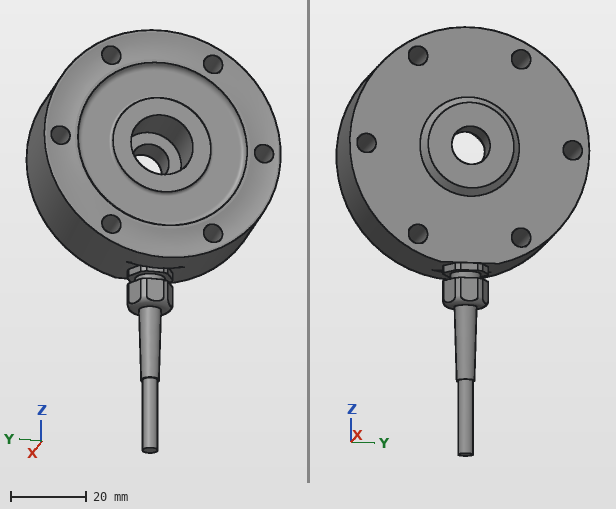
import cadquery as cq
import math

body_diameter = 65.0
body_radius = body_diameter / 2
body_length = 19.9
rim_land_width = 0.7

ring_outer_radius = body_radius - rim_land_width
ring_inner_radius = 24.2
ring_depth = 0.5
land_inner_radius = 23.2

hub_radius = 13.5
recess_depth = 1.6
hub_height = 0.9

button_base_radius = 13.5
button_tip_radius = 11.6
overall_length = 22.0

counterbore_diameter = 17.0
counterbore_depth = 13.8
bore_diameter = 10.4

bolt_hole_diameter = 5.2
bolt_circle_radius = 28.0
bolt_hole_count = 6

gland_x = 13.9
hex_across_flats = 11.3
hex_round_diameter = 12.2
seat_z = -31.5
seat_start_x = 8.0
flange_bottom_z = -33.5
neck_diameter = 8.0
nut_top_z = -35.5
nut_bottom_z = -42.4
nut_fillet = 1.8

relief_top_diameter = 6.0
relief_bottom_diameter = 4.8
relief_bottom_z = -62.5
cable_diameter = 4.0
overall_height = 115.0
cable_bottom_z = body_radius - overall_height


def x_cylinder(diameter, start_x, length):
    return cq.Workplane("YZ", origin=(start_x, 0, 0)).circle(diameter / 2).extrude(length)


def gland_cylinder(diameter, bottom_z, top_z):
    plane = cq.Workplane("XY", origin=(gland_x, 0, bottom_z))
    return plane.circle(diameter / 2).extrude(top_z - bottom_z)


def rounded_hex(bottom_z, top_z, bottom_fillet=0):
    """Hexagon with flats facing +X and -X, its corners turned round."""
    corner_diameter = hex_across_flats / math.cos(math.pi / 6)
    hexagon = (
        cq.Workplane("XY", origin=(gland_x, 0, bottom_z))
        .transformed(rotate=(0, 0, 30))
        .polygon(6, corner_diameter)
        .extrude(top_z - bottom_z)
    )
    envelope = gland_cylinder(hex_round_diameter, bottom_z, top_z)
    if bottom_fillet:
        envelope = envelope.faces("<Z").edges().fillet(bottom_fillet)
    return hexagon.intersect(envelope)


def housing():
    """Turned profile in X (axial) and Y (radial), revolved about X."""
    hub_face_x = recess_depth - hub_height
    ring_middle_radius = (ring_outer_radius + ring_inner_radius) / 2
    profile = (
        cq.Workplane("XY")
        .moveTo(hub_face_x, 0)
        .lineTo(hub_face_x, hub_radius)
        .radiusArc((recess_depth, hub_radius + hub_height), -hub_height)
        .lineTo(recess_depth, land_inner_radius - recess_depth)
        .radiusArc((0, land_inner_radius), -recess_depth)
        .lineTo(0, ring_inner_radius)
        .threePointArc((ring_depth, ring_middle_radius), (0, ring_outer_radius))
        .lineTo(0, body_radius)
        .lineTo(body_length, body_radius)
        .lineTo(body_length, button_base_radius)
        .lineTo(overall_length, button_tip_radius)
        .lineTo(overall_length, 0)
        .close()
    )
    return profile.revolve(360, (0, 0, 0), (1, 0, 0))


def gland_seat():
    """Flat milled on the underside of the housing, open to the far face."""
    seat_length = body_length - seat_start_x
    return cq.Workplane("XY").box(
        seat_length, body_diameter, body_radius, centered=(False, True, False)
    ).translate((seat_start_x, 0, seat_z - body_radius))


def bolt_holes():
    holes = cq.Workplane("YZ").polarArray(bolt_circle_radius, 0, 360, bolt_hole_count)
    return holes.circle(bolt_hole_diameter / 2).extrude(body_length)


def strain_relief():
    return (
        cq.Workplane("XY", origin=(gland_x, 0, nut_bottom_z))
        .circle(relief_top_diameter / 2)
        .workplane(offset=relief_bottom_z - nut_bottom_z)
        .circle(relief_bottom_diameter / 2)
        .loft()
    )


result = (
    housing()
    .cut(gland_seat())
    .cut(x_cylinder(counterbore_diameter, 0, counterbore_depth))
    .cut(x_cylinder(bore_diameter, 0, overall_length))
    .cut(bolt_holes())
    .union(rounded_hex(flange_bottom_z, seat_z))
    .union(gland_cylinder(neck_diameter, nut_top_z, flange_bottom_z))
    .union(rounded_hex(nut_bottom_z, nut_top_z, nut_fillet))
    .union(strain_relief())
    .union(gland_cylinder(cable_diameter, cable_bottom_z, relief_bottom_z))
)